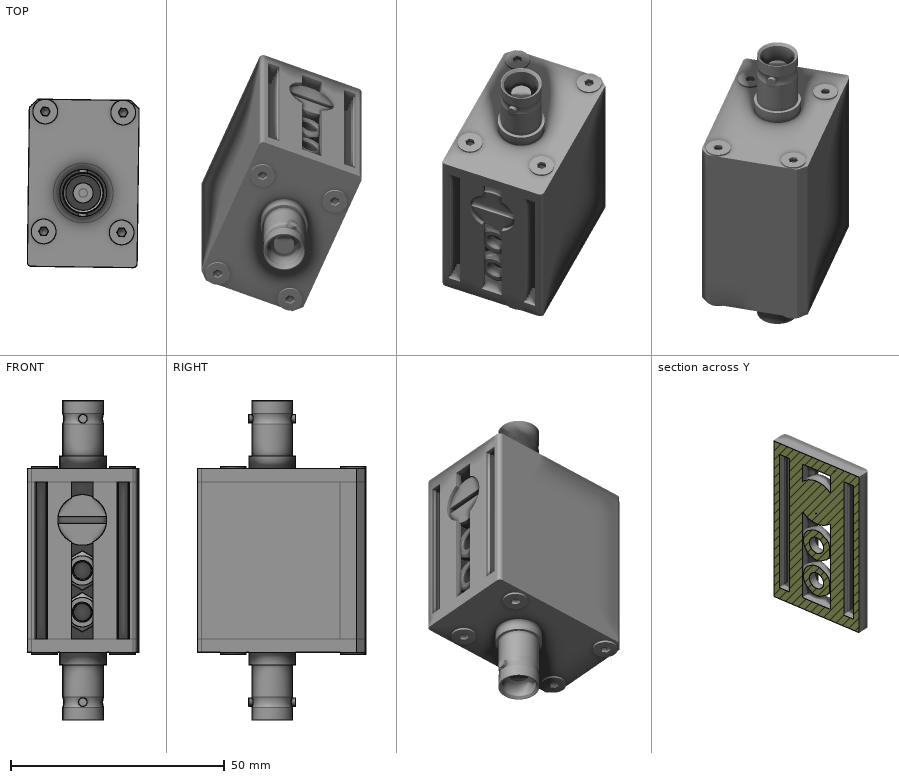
import cadquery as cq
import math

WIDTH = 25.81
FRONT_Y = -17.40
BACK_Y = 21.90
BODY_HEIGHT = 36.8
PLATE_THICKNESS = 3.2
BACK_CHAMFER = 2.0
FRONT_RADIUS = 1.0
BACK_SEAM_Y = 16.05
TURN_ANGLE = -0.75

BODY_TOP = BODY_HEIGHT / 2
PLATE_TOP = BODY_TOP + PLATE_THICKNESS

CONNECTOR_TOP = 37.5
FLANGE_DIAMETER = 14.0
COLLAR_DIAMETER = 11.0
COLLAR_HEIGHT = 2.9
BARREL_DIAMETER = 9.6
BORE_DIAMETER = 8.15
BORE_DEPTH = 9.0
MOUTH_DIAMETER = 9.25
MOUTH_DEPTH = 0.5
NECK_START = 3.0
NECK_END = 5.5
NECK_DEPTH = 0.22
INSULATOR_DIAMETER = 4.7
INSULATOR_DEPTH = 3.45
CONTACT_DIAMETER = 2.0
BAYONET_PIN_DIAMETER = 2.0
BAYONET_SPAN = 11.0
BAYONET_PIN_DROP = 4.25

SCREW_X = 9.15
SCREW_FRONT_Y = -9.15
SCREW_BACK_Y = 19.0
SCREW_HEAD_DIAMETER = 5.8
HEAD_HEIGHT = 0.45
HEX_FLATS = 2.0
HEX_DEPTH = 1.2
DRILL_TIP_DEPTH = 0.6

SLOT_WIDTH = 5.0
SLOT_LIP = 1.6
CAVITY_WIDTH = 8.2
CAVITY_DEPTH = 5.6
NUT_FLATS = 8.0
NUT_HEIGHT = 2.7
NUT_BACK_DEPTH = SLOT_LIP + NUT_HEIGHT
NUT_FACE_DIAMETER = 6.9
NUT_CHAMFER_ANGLE = 30
NUT_BORE_DIAMETER = 4.13
NUT_BORE_MOUTH = 4.7
NUT_HEIGHTS_Z = (-2.37, -12.15)
EARTH_SCREW_Z = 9.5
EARTH_SCREW_DIAMETER = 11.9
EARTH_SCREW_OPENING = 11.46
EARTH_SCREW_RECESS = 1.0
DRIVER_SLOT_WIDTH = 1.6
DRIVER_SLOT_DEPTH = 1.35

GROOVE_CENTRE_X = 9.6
GROOVE_WIDTH = 2.9
GROOVE_DEPTH = 5.0
TOOTH_PITCH = 1.0
TOOTH_HEIGHT = 0.3
TOOTH_RAMP = 0.35


def across_corners(flats):
    return flats / math.cos(math.radians(30))


def housing_section(bottom_z, height):
    """Full housing outline: rounded front corners, chamfered back corners."""
    block = cq.Workplane("XY", origin=(0, (FRONT_Y + BACK_Y) / 2, bottom_z))
    block = block.rect(WIDTH, BACK_Y - FRONT_Y).extrude(height)
    block = block.edges("|Z and <Y").fillet(FRONT_RADIUS)
    return block.edges("|Z and >Y").chamfer(BACK_CHAMFER)


def front_box(width, depth):
    """Full-height box cut into the body from the front face."""
    box = cq.Workplane("XY", origin=(0, FRONT_Y + depth / 2, -BODY_TOP))
    return box.rect(width, depth).extrude(BODY_HEIGHT)


def front_plane(z, depth):
    """Work plane parallel to the front face, its normal pointing outwards."""
    return cq.Workplane("XZ", origin=(0, FRONT_Y + depth, z))


def groove():
    """Groove on the +X side with barbed walls, each tooth rising inwards."""
    half = GROOVE_WIDTH / 2
    right_wall = [(half, 0)]
    for tooth in range(1, int(GROOVE_DEPTH / TOOTH_PITCH) + 1):
        tooth_end = tooth * TOOTH_PITCH
        right_wall.append((half, tooth_end - TOOTH_RAMP))
        right_wall.append((half - TOOTH_HEIGHT, tooth_end))
        right_wall.append((half, tooth_end))
    left_wall = [(-x, y) for x, y in reversed(right_wall)]
    outline = cq.Workplane("XY", origin=(GROOVE_CENTRE_X, FRONT_Y, -BODY_TOP))
    return outline.polyline(right_wall + left_wall).close().extrude(BODY_HEIGHT)


def nut(z):
    """Hexagon nut, corners up and down, pressed against the T-slot lips."""
    corners = across_corners(NUT_FLATS)
    hexagon = front_plane(z, NUT_BACK_DEPTH).transformed(rotate=(0, 0, 90))
    hexagon = hexagon.polygon(6, corners).extrude(NUT_HEIGHT)
    face_radius = NUT_FACE_DIAMETER / 2
    bore_radius = NUT_BORE_DIAMETER / 2
    mouth_radius = NUT_BORE_MOUTH / 2
    mouth_depth = mouth_radius - bore_radius
    drop = (corners / 2 - face_radius) * math.tan(math.radians(NUT_CHAMFER_ANGLE))
    envelope = cq.Workplane("XY").polyline([
        (bore_radius, 0),
        (face_radius, 0),
        (corners / 2, drop),
        (corners / 2, NUT_HEIGHT - drop),
        (face_radius, NUT_HEIGHT),
        (mouth_radius, NUT_HEIGHT),
        (bore_radius, NUT_HEIGHT - mouth_depth),
    ]).close().revolve(360, (0, 0, 0), (0, 1, 0))
    envelope = envelope.rotate((0, 0, 0), (1, 0, 0), 180)
    envelope = envelope.translate((0, FRONT_Y + NUT_BACK_DEPTH, z))
    return hexagon.intersect(envelope)


def earth_screw_opening():
    opening = front_plane(EARTH_SCREW_Z, EARTH_SCREW_RECESS)
    return opening.circle(EARTH_SCREW_OPENING / 2).extrude(EARTH_SCREW_RECESS)


def driver_slot():
    slot = front_plane(EARTH_SCREW_Z, EARTH_SCREW_RECESS + DRIVER_SLOT_DEPTH)
    return slot.rect(EARTH_SCREW_OPENING, DRIVER_SLOT_WIDTH).extrude(DRIVER_SLOT_DEPTH)


def earth_screw():
    """Slotted cheese head held in the T-slot, set back from the front face."""
    head = front_plane(EARTH_SCREW_Z, CAVITY_DEPTH)
    head = head.circle(EARTH_SCREW_DIAMETER / 2).extrude(CAVITY_DEPTH - EARTH_SCREW_RECESS)
    return head.cut(driver_slot())


def body():
    """Middle section with T-slot, nuts, earth screw and barbed grooves."""
    section = housing_section(-BODY_TOP, BODY_HEIGHT)
    section = section.cut(front_box(SLOT_WIDTH, CAVITY_DEPTH))
    cavity = front_box(CAVITY_WIDTH, CAVITY_DEPTH).cut(front_box(CAVITY_WIDTH, SLOT_LIP))
    section = section.cut(cavity).cut(earth_screw_opening())
    section = section.cut(groove()).cut(groove().mirror("YZ"))
    section = section.cut(driver_slot()).union(earth_screw())
    for z in NUT_HEIGHTS_Z:
        section = section.union(nut(z))
    back_region = cq.Workplane("XY", origin=(0, (BACK_SEAM_Y + BACK_Y) / 2, -BODY_TOP))
    back_region = back_region.rect(WIDTH, BACK_Y - BACK_SEAM_Y).extrude(BODY_HEIGHT)
    return section.cut(back_region).union(section.intersect(back_region), clean=False)


def plate_screw(x, y):
    head = cq.Workplane("XY", origin=(x, y, PLATE_TOP))
    return head.circle(SCREW_HEAD_DIAMETER / 2).extrude(HEAD_HEIGHT)


def hex_socket(x, y):
    """Hexagon socket ending in a conical drill tip."""
    corners = across_corners(HEX_FLATS)
    floor_z = PLATE_TOP + HEAD_HEIGHT - HEX_DEPTH
    socket = cq.Workplane("XY", origin=(x, y, floor_z)).polygon(6, corners).extrude(HEX_DEPTH)
    tip = cq.Solid.makeCone(
        HEX_FLATS / 2, 0, DRILL_TIP_DEPTH, pnt=cq.Vector(x, y, floor_z), dir=cq.Vector(0, 0, -1)
    )
    return socket.union(cq.Workplane(tip))


def connector():
    """Turned connector standing on the upper plate."""
    barrel = BARREL_DIAMETER / 2
    bore = BORE_DIAMETER / 2
    insulator = INSULATOR_DIAMETER / 2
    insulator_z = CONNECTOR_TOP - INSULATOR_DEPTH
    collar_z = PLATE_TOP + COLLAR_HEIGHT
    neck_middle_z = CONNECTOR_TOP - (NECK_START + NECK_END) / 2
    profile = (
        cq.Workplane("XZ")
        .moveTo(0, BODY_TOP)
        .lineTo(FLANGE_DIAMETER / 2, BODY_TOP)
        .lineTo(FLANGE_DIAMETER / 2, PLATE_TOP)
        .lineTo(COLLAR_DIAMETER / 2, PLATE_TOP)
        .lineTo(COLLAR_DIAMETER / 2, collar_z)
        .lineTo(barrel, collar_z)
        .lineTo(barrel, CONNECTOR_TOP - NECK_END)
        .threePointArc((barrel - NECK_DEPTH, neck_middle_z), (barrel, CONNECTOR_TOP - NECK_START))
        .lineTo(barrel, CONNECTOR_TOP)
        .lineTo(MOUTH_DIAMETER / 2, CONNECTOR_TOP)
        .lineTo(bore, CONNECTOR_TOP - MOUTH_DEPTH)
        .lineTo(bore, CONNECTOR_TOP - BORE_DEPTH)
        .lineTo(insulator, CONNECTOR_TOP - BORE_DEPTH)
        .lineTo(insulator, insulator_z)
        .lineTo(0, insulator_z)
        .close()
    )
    turned = profile.revolve(360, (0, 0, 0), (0, 1, 0))
    pin_root = (bore + barrel) / 2 - NECK_DEPTH
    pin_length = BAYONET_SPAN / 2 - pin_root
    for facing in (-1, 1):
        pin = cq.Workplane("XZ", origin=(0, facing * pin_root, CONNECTOR_TOP - BAYONET_PIN_DROP))
        pin = pin.circle(BAYONET_PIN_DIAMETER / 2).extrude(-facing * pin_length)
        turned = turned.union(pin)
    contact = cq.Workplane("XY", origin=(0, 0, CONNECTOR_TOP - BORE_DEPTH))
    contact = contact.circle(CONTACT_DIAMETER / 2).extrude(BORE_DEPTH - INSULATOR_DEPTH)
    return turned.cut(contact).union(contact, clean=False)


def end_assembly():
    """Upper end plate with its four screws and connector."""
    flange_hole = cq.Workplane("XY", origin=(0, 0, BODY_TOP))
    flange_hole = flange_hole.circle(FLANGE_DIAMETER / 2).extrude(PLATE_THICKNESS)
    plate = housing_section(BODY_TOP, PLATE_THICKNESS).cut(flange_hole)
    for x in (-SCREW_X, SCREW_X):
        for y in (SCREW_FRONT_Y, SCREW_BACK_Y):
            plate = plate.union(plate_screw(x, y)).cut(hex_socket(x, y))
    return plate.union(connector(), clean=False)


upper_end = end_assembly()
lower_end = upper_end.mirror("XY")
assembled = body().union(upper_end, clean=False).union(lower_end, clean=False)
result = assembled.rotate((0, 0, 0), (0, 0, 1), TURN_ANGLE)